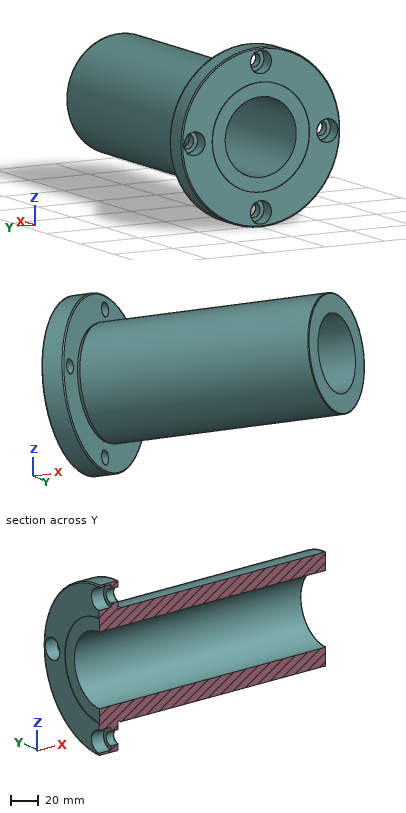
import cadquery as cq

total_length = 209.0
flange_diameter = 134.0
flange_thickness = 18.0
barrel_diameter = 90.0
bore_diameter = 60.0

seal_diameter = 82.0
seal_depth = 0.5

neck_diameter = 88.2
neck_length = 2.5

flange_chamfer = 0.95
barrel_chamfer = 0.6

bolt_circle_diameter = 112.0
bolt_count = 4
bolt_hole_diameter = 11.0
counterbore_diameter = 17.5
counterbore_depth = 11.0

flange_face = -total_length / 2
flange_back = flange_face + flange_thickness
neck_depth = (barrel_diameter - neck_diameter) / 2
neck_arc_radius = (neck_length**2 + neck_depth**2) / (2 * neck_depth)

barrel_start = flange_back + neck_length
barrel_end = total_length / 2


def cylinder(diameter, start, end):
    """Solid cylinder on the X axis between two X positions."""
    return cq.Workplane("YZ", origin=(start, 0, 0)).circle(diameter / 2).extrude(end - start)


def bolt_pattern(diameter, depth):
    """Cylinders sunk from the flange face, equally spaced on the bolt circle."""
    return (
        cq.Workplane("YZ", origin=(flange_face, 0, 0))
        .polarArray(bolt_circle_diameter / 2, 0, 360, bolt_count)
        .circle(diameter / 2)
        .extrude(depth)
    )


flange = cylinder(flange_diameter, flange_face, flange_back).edges("%CIRCLE").chamfer(flange_chamfer)
neck = (
    cq.Workplane("XY")
    .moveTo(flange_back, 0)
    .lineTo(flange_back, neck_diameter / 2)
    .radiusArc((barrel_start, barrel_diameter / 2), -neck_arc_radius)
    .lineTo(barrel_start, 0)
    .close()
    .revolve(360, (0, 0, 0), (1, 0, 0))
)
barrel = cylinder(barrel_diameter, barrel_start, barrel_end).faces(">X").edges().chamfer(barrel_chamfer)
body = flange.union(neck).union(barrel)

bore = cylinder(bore_diameter, flange_face, barrel_end)
seal_recess = cylinder(seal_diameter, flange_face, flange_face + seal_depth)
bolt_holes = bolt_pattern(bolt_hole_diameter, flange_thickness)
counterbores = bolt_pattern(counterbore_diameter, counterbore_depth)

result = body.cut(bore).cut(seal_recess).cut(bolt_holes).cut(counterbores)